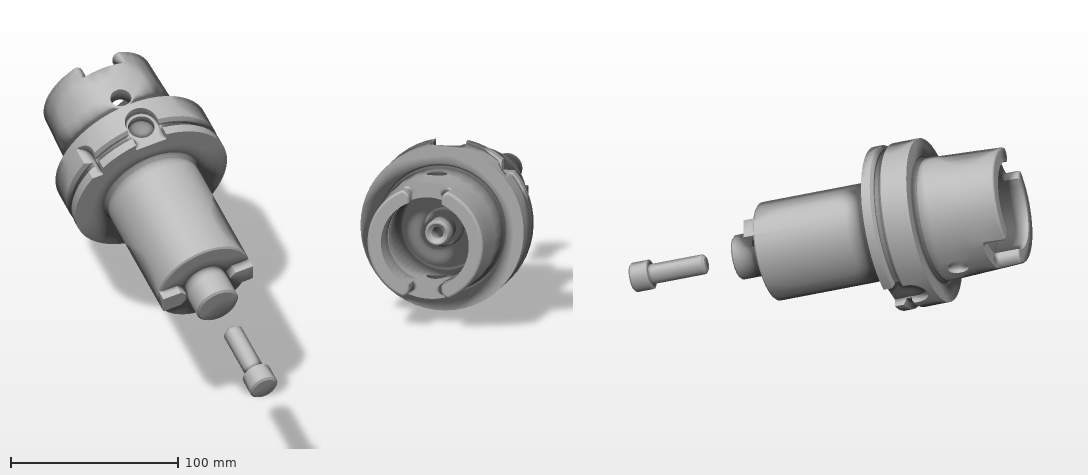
import cadquery as cq
import math

TAPER_END = 47.7
FLANGE_FACE = 50.0
GROOVE_CENTRE = 70.0
FLANGE_END = 79.0
BODY_START = 81.8
BODY_END = 155.1
NOSE_END = 175.2
SCREW_TIP = 195.0
SCREW_SEAT = 230.1
SCREW_END = 242.0

TAPER_START_RADIUS = 35.3
TAPER_END_RADIUS = 37.5
FLANGE_RADIUS = 100.0 / 2
BODY_RADIUS = 60.0 / 2
TRANSITION_RADIUS = 63.0 / 2
NOSE_RADIUS = 27.0 / 2

RELIEF_DEPTH = 0.5
RELIEF_RUN = 0.7
RELIEF_FACE_DEPTH = 0.7
RELIEF_CORNER_RADIUS = 38.5
RELIEF_OUTER_RADIUS = 39.5

GROOVE_FLOOR_RADIUS = 46.0
GROOVE_FLOOR_WIDTH = 3.6
GROOVE_MOUTH_WIDTH = 6.8
GROOVE_FLARE_DEPTH = 2.5

BODY_EDGE = 1.0
NOSE_EDGE = 1.2
NOSE_RELIEF_RADIUS = 26.5 / 2
NOSE_RELIEF_WIDTH = 1.7
NOSE_SHOULDER = 0.7

BORE_RADIUS = 53.0 / 2
BORE_MOUTH_RADIUS = 53.7 / 2
BORE_MOUTH_DEPTH = 19.5
BORE_FLOOR = 58.0
BORE_FLOOR_FILLET = 1.7
TAPER_EDGE_FILLET = 1.7

COLLAR_RADIUS = 24.0 / 2
COLLAR_HEIGHT = 3.6
COLLAR_CHAMFER = 1.2
TUBE_RADIUS = 15.2 / 2
TUBE_TIP = 34.1
TUBE_TIP_RADIUS = 6.8
TUBE_TIP_LENGTH = 3.0
TUBE_HOLE_RADIUS = 3.6
TUBE_MOUTH_RADIUS = 6.0

SLOT_HALF_WIDTH = 10.0
SLOT_FLARE_RADIUS = 4.8
SLOT_FLARE_START = 27.5
SLOT_START = 19.4
SLOT_CORNER_FILLET = 1.7
TOP_SLOT_DEPTH = 10.0
BOTTOM_SLOT_DEPTH = 14.8
PLATE_THICKNESS = 2.5
EDGE_MARGIN = 0.2

CROSS_HOLE_RADIUS = 12.5 / 2
CROSS_HOLE_X = 35.0

NOTCH_RADIUS = 10.0
NOTCH_CENTRE_X = 64.5
NOTCH_FLOOR = 44.0
DATA_HOLE_RADIUS = 16.0 / 2
DATA_HOLE_DEPTH = 4.8
CORNER_NOTCH_OFFSET = 31.7

LUG_WIDTH = 12.0
LUG_LENGTH = 5.8
LUG_OUTER = 29.5
LUG_INNER = 14.3
LUG_CHAMFER = 3.6

SHANK_RADIUS = 12.0 / 2
SHANK_TIP_RADIUS = 8.7 / 2
SHANK_TIP_LENGTH = 1.5
HEAD_RADIUS = 18.0 / 2
HEAD_END_RADIUS = 15.2 / 2
HEAD_END_LENGTH = 1.2


def turned(points):
    """Solid of revolution about X from (x, radius) points; the ends close on the axis."""
    outline = [(points[0][0], 0), *points, (points[-1][0], 0)]
    return cq.Workplane("XY").polyline(outline).close().revolve(360, (0, 0, 0), (1, 0, 0))


def holder_blank():
    """Outside of the holder before the slots, notches and bore are cut."""
    half_floor = GROOVE_FLOOR_WIDTH / 2
    half_mouth = GROOVE_MOUTH_WIDTH / 2
    flare_radius = FLANGE_RADIUS - GROOVE_FLARE_DEPTH
    relief_radius = TAPER_END_RADIUS - RELIEF_DEPTH
    blank = turned([
        (0, TAPER_START_RADIUS),
        (TAPER_END, TAPER_END_RADIUS),
        (TAPER_END + RELIEF_RUN, relief_radius),
        (TAPER_END + 2 * RELIEF_RUN, relief_radius),
        (FLANGE_FACE + RELIEF_FACE_DEPTH, RELIEF_CORNER_RADIUS),
        (FLANGE_FACE, RELIEF_OUTER_RADIUS),
        (FLANGE_FACE, FLANGE_RADIUS),
        (GROOVE_CENTRE - half_mouth, FLANGE_RADIUS),
        (GROOVE_CENTRE - half_floor, flare_radius),
        (GROOVE_CENTRE - half_floor, GROOVE_FLOOR_RADIUS),
        (GROOVE_CENTRE + half_floor, GROOVE_FLOOR_RADIUS),
        (GROOVE_CENTRE + half_floor, flare_radius),
        (GROOVE_CENTRE + half_mouth, FLANGE_RADIUS),
        (FLANGE_END, FLANGE_RADIUS),
        (FLANGE_END, TRANSITION_RADIUS),
        (BODY_START, BODY_RADIUS),
        (BODY_END - BODY_EDGE, BODY_RADIUS),
        (BODY_END, BODY_RADIUS - BODY_EDGE),
        (BODY_END, NOSE_RELIEF_RADIUS),
        (BODY_END + NOSE_RELIEF_WIDTH, NOSE_RELIEF_RADIUS),
        (BODY_END + NOSE_RELIEF_WIDTH + NOSE_SHOULDER, NOSE_RADIUS),
        (NOSE_END - NOSE_EDGE, NOSE_RADIUS),
        (NOSE_END, NOSE_RADIUS - NOSE_EDGE),
    ])
    return blank.faces("<X").edges().fillet(TAPER_EDGE_FILLET)


def bore():
    """Space inside the taper, with a rounded corner at its floor."""
    space = turned([
        (0, BORE_MOUTH_RADIUS),
        (BORE_MOUTH_DEPTH, BORE_MOUTH_RADIUS),
        (BORE_MOUTH_DEPTH, BORE_RADIUS),
        (BORE_FLOOR, BORE_RADIUS),
    ])
    return space.faces(">X").edges().fillet(BORE_FLOOR_FILLET)


def drive_slot(depth):
    """Cutter for the top slot: walls that round outwards, filleted floor corners, rounded mouth."""
    flare_end = SLOT_HALF_WIDTH + SLOT_FLARE_RADIUS
    flare_top = SLOT_FLARE_START + SLOT_FLARE_RADIUS
    outer = FLANGE_RADIUS
    bend = SLOT_FLARE_RADIUS * math.sqrt(0.5)
    bend_y = flare_end - bend
    bend_z = SLOT_FLARE_START + bend
    profile = (
        cq.Workplane("YZ", origin=(-PLATE_THICKNESS, 0, 0))
        .moveTo(-SLOT_HALF_WIDTH, SLOT_START)
        .lineTo(SLOT_HALF_WIDTH, SLOT_START)
        .lineTo(SLOT_HALF_WIDTH, SLOT_FLARE_START)
        .threePointArc((bend_y, bend_z), (flare_end, flare_top))
        .lineTo(outer, flare_top)
        .lineTo(outer, outer)
        .lineTo(-outer, outer)
        .lineTo(-outer, flare_top)
        .lineTo(-flare_end, flare_top)
        .threePointArc((-bend_y, bend_z), (-SLOT_HALF_WIDTH, SLOT_FLARE_START))
        .close()
    )
    slot = profile.extrude(depth + PLATE_THICKNESS)
    slot = slot.faces(">X").edges("not(<Z or >Z or <Y or >Y)").fillet(SLOT_CORNER_FILLET)
    plate = cq.Workplane("YZ").rect(4 * outer, 4 * outer).extrude(-PLATE_THICKNESS)
    mouth = cq.selectors.BoxSelector(
        (-EDGE_MARGIN, EDGE_MARGIN - outer, SLOT_START + EDGE_MARGIN),
        (EDGE_MARGIN, outer - EDGE_MARGIN, outer - EDGE_MARGIN),
    )
    return plate.union(slot).edges(mouth).fillet(TAPER_EDGE_FILLET)


def coolant_tube():
    """Tube with a tapered tip and a chamfered collar, hollow down to the bore floor."""
    collar_face = BORE_FLOOR - COLLAR_HEIGHT
    tube = turned([
        (TUBE_TIP, TUBE_TIP_RADIUS),
        (TUBE_TIP + TUBE_TIP_LENGTH, TUBE_RADIUS),
        (collar_face, TUBE_RADIUS),
        (collar_face, COLLAR_RADIUS - COLLAR_CHAMFER),
        (collar_face + COLLAR_CHAMFER, COLLAR_RADIUS),
        (BORE_FLOOR, COLLAR_RADIUS),
    ])
    hole = turned([
        (TUBE_TIP, TUBE_MOUTH_RADIUS),
        (TUBE_TIP + TUBE_TIP_LENGTH, TUBE_HOLE_RADIUS),
        (BORE_FLOOR, TUBE_HOLE_RADIUS),
    ])
    return tube.cut(hole)


def rim_notch(centre_y, floor):
    """Cutter for a notch with one round end, rising from its floor and running out past the flange."""
    height = FLANGE_RADIUS
    length = FLANGE_END - NOTCH_CENTRE_X
    base = cq.Workplane("XY", origin=(NOTCH_CENTRE_X, centre_y, floor))
    round_end = base.circle(NOTCH_RADIUS).extrude(height)
    run = base.center(length / 2, 0).rect(length, 2 * NOTCH_RADIUS).extrude(height)
    return round_end.union(run)


def drive_lug():
    """Lug on the +Y side of the nose, rooted in the body."""
    length = LUG_LENGTH + BODY_EDGE
    lug = (
        cq.Workplane("XY")
        .box(length, LUG_OUTER - LUG_INNER, LUG_WIDTH)
        .translate((BODY_END - BODY_EDGE + length / 2, (LUG_OUTER + LUG_INNER) / 2, 0))
    )
    return lug.faces("<Y").edges("|X").chamfer(LUG_CHAMFER)


def make_holder():
    body = holder_blank().cut(bore())
    bottom_slot = drive_slot(BOTTOM_SLOT_DEPTH).rotate((0, 0, 0), (1, 0, 0), 180)
    body = body.cut(drive_slot(TOP_SLOT_DEPTH)).cut(bottom_slot)
    cross_hole = cq.Workplane("XY").center(CROSS_HOLE_X, 0).circle(CROSS_HOLE_RADIUS)
    body = body.cut(cross_hole.extrude(FLANGE_RADIUS, both=True))
    body = body.union(coolant_tube())
    top_notch = rim_notch(0, NOTCH_FLOOR)
    body = body.cut(top_notch).cut(top_notch.mirror("XY"))
    body = body.cut(rim_notch(-CORNER_NOTCH_OFFSET - NOTCH_RADIUS, CORNER_NOTCH_OFFSET))
    data_hole = cq.Workplane("XY", origin=(NOTCH_CENTRE_X, 0, NOTCH_FLOOR)).circle(DATA_HOLE_RADIUS)
    body = body.cut(data_hole.extrude(-DATA_HOLE_DEPTH))
    for side in (0, 180):
        body = body.union(drive_lug().rotate((0, 0, 0), (1, 0, 0), side))
    return body


def make_screw():
    return turned([
        (SCREW_TIP, SHANK_TIP_RADIUS),
        (SCREW_TIP + SHANK_TIP_LENGTH, SHANK_RADIUS),
        (SCREW_SEAT, SHANK_RADIUS),
        (SCREW_SEAT, HEAD_RADIUS),
        (SCREW_END - HEAD_END_LENGTH, HEAD_RADIUS),
        (SCREW_END, HEAD_END_RADIUS),
    ])


holder = make_holder()
screw = make_screw()
result = cq.Compound.makeCompound([holder.val(), screw.val()])